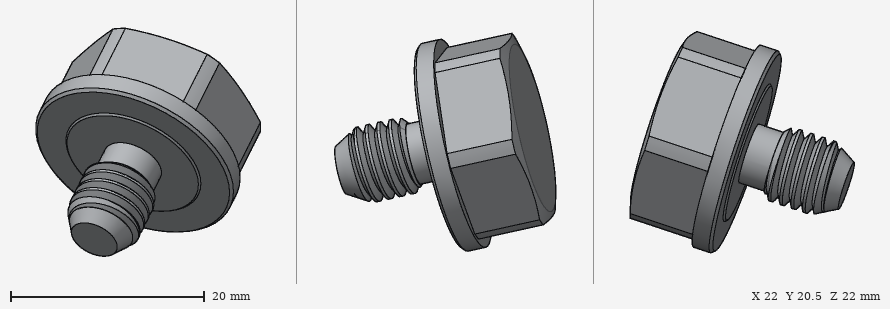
import cadquery as cq
import math


head_height = 7.48
across_flats = 18.92
corner_diameter = 20.99
crown_diameter = 17.69
crown_depth = 0.53

flange_diameter = 22.0
flange_thickness = 2.18
flange_chamfer = 0.3
bearing_diameter = 15.0
bearing_height = 0.2

shank_length = 10.65
neck_diameter = 6.4
neck_length = 2.82
tip_diameter = 5.1
tip_half_angle = 30.0

thread_diameter = 8.0
pitch = 1.25
flank_half_angle = 30.0
crest_width = pitch / 4
root_position = 3.65
turns = 9
lead_turns = 2
thread_lead_in = 0.68
cutter_margin = 0.09

flange_base = -bearing_height - flange_thickness
head_base = flange_base - head_height


def revolve_profile(points):
    return cq.Workplane("XZ").polyline(points).close().revolve(360, (0, 0, 0), (0, 1, 0))


def make_head():
    """Hexagon with its corners turned down and its outer end coned."""
    hexagon = (
        cq.Workplane("XY", origin=(0, 0, head_base))
        .polygon(6, across_flats / math.cos(math.pi / 6))
        .extrude(head_height)
    )
    turned_blank = revolve_profile([
        (0, head_base),
        (crown_diameter / 2, head_base),
        (corner_diameter / 2, head_base + crown_depth),
        (corner_diameter / 2, flange_base),
        (0, flange_base),
    ])
    return hexagon.intersect(turned_blank)


def make_flange():
    """Round flange with a chamfered rim and a low conical-edged bearing face."""
    flange_radius = flange_diameter / 2
    bearing_radius = bearing_diameter / 2
    return revolve_profile([
        (0, flange_base),
        (flange_radius, flange_base),
        (flange_radius, -bearing_height - flange_chamfer),
        (flange_radius - flange_chamfer, -bearing_height),
        (bearing_radius, -bearing_height),
        (bearing_radius - bearing_height, 0),
        (0, 0),
    ])


def make_thread_groove():
    """Right-hand helical V groove, sharp at the root."""
    flank_slope = math.tan(math.radians(flank_half_angle))
    groove_depth = (pitch - crest_width) / 2 / flank_slope
    root_radius = thread_diameter / 2 - groove_depth
    outer_radius = thread_diameter / 2 + cutter_margin
    half_mouth = (outer_radius - root_radius) * flank_slope

    helix = cq.Wire.makeHelix(pitch, turns * pitch, root_radius)
    groove = (
        cq.Workplane("XZ")
        .polyline([(root_radius, 0), (outer_radius, half_mouth), (outer_radius, -half_mouth)])
        .close()
        .sweep(cq.Workplane(obj=helix), isFrenet=True)
    )
    return groove.translate((0, 0, root_position - lead_turns * pitch))


def make_threaded_end():
    """Threaded bar with a chamfered start and a conical point."""
    thread_radius = thread_diameter / 2
    tip_radius = tip_diameter / 2
    point_length = (thread_radius - tip_radius) / math.tan(math.radians(tip_half_angle))
    envelope = revolve_profile([
        (0, neck_length),
        (thread_radius - thread_lead_in, neck_length),
        (thread_radius, neck_length + thread_lead_in),
        (thread_radius, shank_length - point_length),
        (tip_radius, shank_length),
        (0, shank_length),
    ])
    bar = (
        cq.Workplane("XY", origin=(0, 0, -lead_turns * pitch))
        .circle(thread_radius)
        .extrude((turns + 2 * lead_turns) * pitch)
    )
    return bar.cut(make_thread_groove()).intersect(envelope)


neck = cq.Workplane("XY").circle(neck_diameter / 2).extrude(neck_length)
bolt = make_head().union(make_flange()).union(neck).union(make_threaded_end())

result = bolt.rotate((0, 0, 0), (1, 0, 0), 90)